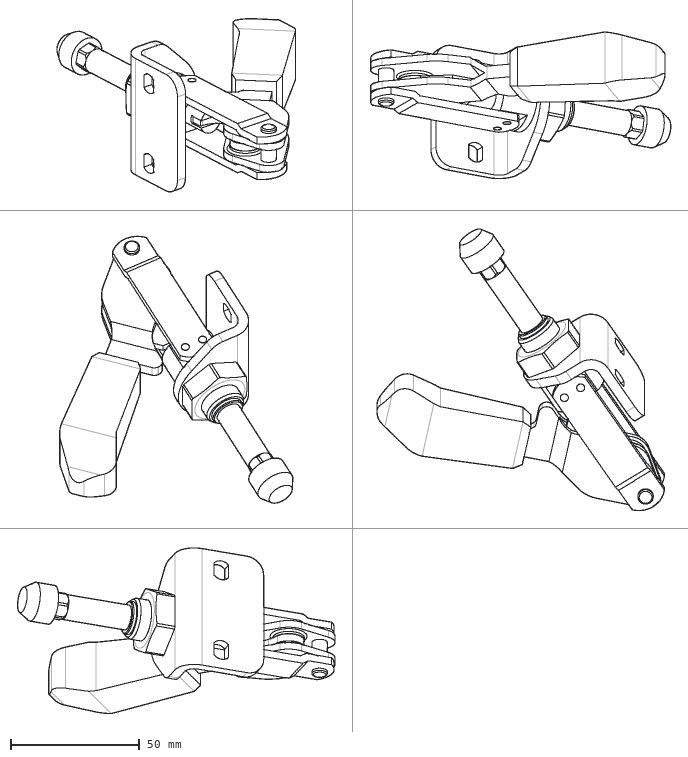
import cadquery as cq
import math


LONG = 261.0

ROD_RADIUS = 5.0
TIP_RADIUS = 7.7
TIP_NOSE_RADIUS = 5.1
TIP_CONE_LENGTH = 4.5
TIP_LENGTH = 12.1
WRENCH_HALF_FLATS = 5.0
WRENCH_RADIUS = 5.5
WRENCH_END = 16.7
WRENCH_CONE_END = 17.5
WRENCH_ANGLE = 17.0
PLUNGER_END = 88.7

SHEET = 4.0
BRACKET_FRONT = 59.1
BRACKET_BACK = BRACKET_FRONT + SHEET
BRACKET_HEIGHT = 50.0
BASE_END = 93.0
BASE_BOTTOM = -20.1
BEND_RADIUS = 8.0
BASE_CORNER_RADIUS = 7.0
CROWN_RADIUS = 20.0
CROWN_TOP = 14.0
SLOT_X = 75.3
SLOT_Z = 17.1
SLOT_LENGTH = 8.0
SLOT_WIDTH = 6.0

LIP_RADIUS = 6.5
LIP_START = 43.7
LIP_CHAMFER = 0.4
COLLAR_RADIUS = 8.1
COLLAR_START = 45.3
COLLAR_CHAMFER_LENGTH = 1.2
COLLAR_CHAMFER_DEPTH = 0.7
BARREL_RADIUS = 11.1
BARREL_END = 78.0
FLAT_START = 65.9
PLATE = 3.0
PLATE_INNER = 7.6
PLATE_JOG = 1.5
JOG_START = 114.6
JOG_LENGTH = 2.2
JOG_INNER_LEAD = 1.0
PLATE_START = 66.5
PLATE_END = 129.8
PLATE_WIDTH = 15.0
PLATE_END_RADIUS = 10.0
RIVET_RADIUS = 1.6
RIVET_HEAD = 0.1
RIVET_X = 72.5
RIVET_Y = 3.8

NUT_START = 50.9
NUT_HALF_FLATS = 12.0
NUT_RADIUS = 13.6
NUT_FACE_RADIUS = 11.0
NUT_CHAMFER_LENGTH = 0.7
NUT_ANGLE = 90.0

PIN_X = 124.5
PIN_RADIUS = 3.0
PIN_HALF_LENGTH = 10.6
PIN_CHAMFER = 0.5

LEVER_OUTER = PLATE_INNER - PLATE_JOG
LEVER_INNER = 3.3
NECK_HALF = 2.6
LEVER_END_RADIUS = 6.0
KNUCKLE_RADIUS = 8.5
KNUCKLE = (111.2, -0.8)
LEVER_TILT = 45.0
BELLY_ANGLE = 14.0
SHOULDER_POINT = (102.6, 21.9)
SHOULDER_ANGLE = 170.0
SHOULDER_RADIUS = 13.7
NECK_TOP_OFFSET = 6.3
NECK_RADIUS = 10.5
THROAT_X = 78.8
THROAT_RADIUS = 2.0
HOOK_TOP_POINT = (76.5, 18.8)
HOOK_NOSE_X = 74.0
HOOK_BOTTOM_Y = 11.9
HOOK_RADIUS = 3.0
HEEL_RADIUS = 10.0
BEND_AT_NECK = -10.2
BEND_AT_ARMS = -15.9

GRIP_BASE = (82.5, 27.8)
GRIP_CHAMFER = 3.5
GRIP_BASE_WIDTH = 15.9
GRIP_SHOULDER_WIDTH = 19.8
GRIP_PALM = (36.4, -10.3)
GRIP_LOWER_TIP = (52.3, -15.4)
GRIP_LOWER_TIP_RADIUS = 6.0
GRIP_UPPER_TIP = (61.5, -0.1)
GRIP_UPPER_TIP_RADIUS = 4.8
GRIP_BACK = (42.7, 11.4)
GRIP_BACK_RADIUS = 11.7
GRIP_BASE_HALF = 6.9
GRIP_SHOULDER_HALF = 8.1
GRIP_BELLY_HALF = 10.6
GRIP_BELLY = 39.2
GRIP_END = 60.4
GRIP_END_HALF = 6.3
GRIP_END_RADIUS = 6.0

LINK_HALF = 1.6
EYE_RADIUS = 6.0
WASHER_RADIUS = 6.3
FLANGE_RADIUS = 7.2
FLANGE_START = 2.5
LINK_FRONT = 82.7
LINK_BOTTOM = -3.9
LINK_SHOULDER = 8.2
LINK_TOP = 12.3
LINK_BACK = 101.8
ARCH_CENTER = (95.9, -2.9)
ARCH_RADIUS = 8.7
ARCH_END_ANGLE = 28.0



def polar(center, radius, angle):
    """Point at a radius and an angle in degrees from a centre."""
    turn = math.radians(angle)
    return (center[0] + radius * math.cos(turn), center[1] + radius * math.sin(turn))


def meet(edge_a, edge_b):
    """Crossing of two straight edges, each given as a point and a direction in degrees."""
    (ax, ay), angle_a = edge_a
    (bx, by), angle_b = edge_b
    turn_a = math.radians(angle_a)
    turn_b = math.radians(angle_b)
    gap = (bx - ax) * math.sin(turn_b) - (by - ay) * math.cos(turn_b)
    return polar((ax, ay), gap / math.sin(turn_b - turn_a), angle_a)


def rounded_outline(plane, corners):
    """Closed outline through (x, y, radius) corners; a corner of radius 0 stays sharp."""
    stretches = []
    for i, (x, y, radius) in enumerate(corners):
        before = corners[i - 1]
        after = corners[(i + 1) % len(corners)]
        angle_in = math.degrees(math.atan2(before[1] - y, before[0] - x))
        angle_out = math.degrees(math.atan2(after[1] - y, after[0] - x))
        half_angle = ((angle_out - angle_in + 180) % 360 - 180) / 2
        if radius == 0:
            stretches.append([(x, y)])
            continue
        setback = radius / math.tan(math.radians(abs(half_angle)))
        to_arc = radius / math.sin(math.radians(abs(half_angle))) - radius
        start = polar((x, y), setback, angle_in)
        middle = polar((x, y), to_arc, angle_in + half_angle)
        stretches.append([start, middle, polar((x, y), setback, angle_out)])
    wire = cq.Workplane(plane).moveTo(*stretches[0][-1])
    for stretch in stretches[1:] + stretches[:1]:
        wire = wire.lineTo(*stretch[0])
        if len(stretch) == 3:
            wire = wire.threePointArc(stretch[1], stretch[2])
    return wire.close()


def turned(profile):
    """Body turned about the X axis from its (x, radius) points."""
    return cq.Workplane("XY").polyline(profile).close().revolve(360, (0, 0), (1, 0))


def rod(radius, start, end):
    """Round bar along the X axis."""
    return cq.Workplane("YZ", origin=(start, 0, 0)).circle(radius).extrude(end - start)


def hexagon(half_flats, start, end, angle):
    """Hexagonal bar along the X axis with one corner at the given angle from +Y."""
    corner_diameter = 2 * half_flats / math.cos(math.radians(30))
    bar = cq.Workplane("YZ", origin=(start, 0, 0)).polygon(6, corner_diameter).extrude(end - start)
    return bar.rotate((0, 0, 0), (1, 0, 0), angle)


def cylinder_z(x, y, radius, half_length):
    """Round bar parallel to Z, centred on z = 0."""
    return cq.Workplane("XY", origin=(x, y, -half_length)).circle(radius).extrude(2 * half_length)


tilt_axis = polar((0, 0), 1, LEVER_TILT + 90)
tilt_side = polar((0, 0), 1, LEVER_TILT)
grip_plan = cq.Plane(origin=(*GRIP_BASE, 0), xDir=(*tilt_axis, 0), normal=(0, 0, -1))
grip_section = cq.Plane(origin=(*GRIP_BASE, 0), xDir=(*tilt_axis, 0), normal=(*tilt_side, 0))



def make_plunger():
    """Push rod with a coned tip, a wrench hexagon and a slotted rear end for the link."""
    tip = turned([
        (0, 0),
        (0, TIP_NOSE_RADIUS),
        (TIP_CONE_LENGTH, TIP_RADIUS),
        (TIP_LENGTH, TIP_RADIUS),
        (TIP_LENGTH, 0),
    ])
    wrench_blank = turned([
        (TIP_LENGTH, 0),
        (TIP_LENGTH, WRENCH_RADIUS),
        (WRENCH_END, WRENCH_RADIUS),
        (WRENCH_CONE_END, ROD_RADIUS),
        (WRENCH_CONE_END, 0),
    ])
    wrench = hexagon(WRENCH_HALF_FLATS, TIP_LENGTH, WRENCH_CONE_END, WRENCH_ANGLE).intersect(wrench_blank)
    slot = cq.Workplane("XY", origin=(LINK_FRONT, 0, 0))
    slot = slot.box(LONG, LONG, 2 * LINK_HALF, centered=(False, True, True))
    return tip.union(wrench).union(rod(ROD_RADIUS, WRENCH_END, PLUNGER_END)).cut(slot)


def make_side_plate():
    """Upper strap of the guide, jogged inward at the pivot end."""
    jog_end = JOG_START + JOG_LENGTH
    outer = PLATE_INNER + PLATE
    edge_view = [
        (PLATE_START, PLATE_INNER),
        (PLATE_START, outer),
        (JOG_START, outer),
        (jog_end, outer - PLATE_JOG),
        (PLATE_END, outer - PLATE_JOG),
        (PLATE_END, PLATE_INNER - PLATE_JOG),
        (jog_end - JOG_INNER_LEAD, PLATE_INNER - PLATE_JOG),
        (JOG_START - JOG_INNER_LEAD, PLATE_INNER),
    ]
    strap = cq.Workplane("XZ").polyline(edge_view).close().extrude(PLATE_WIDTH / 2, both=True)
    bulge = PLATE_END_RADIUS - math.sqrt(PLATE_END_RADIUS**2 - (PLATE_WIDTH / 2) ** 2)
    half = PLATE_WIDTH / 2
    plan = (
        cq.Workplane("XY")
        .moveTo(PLATE_START + bulge, -half)
        .lineTo(PLATE_END - bulge, -half)
        .threePointArc((PLATE_END, 0), (PLATE_END - bulge, half))
        .lineTo(PLATE_START + bulge, half)
        .threePointArc((PLATE_START, 0), (PLATE_START + bulge, -half))
        .close()
        .extrude(LONG)
    )
    rivets = (
        cq.Workplane("XY", origin=(0, 0, PLATE_INNER))
        .pushPoints([(RIVET_X, RIVET_Y), (RIVET_X, -RIVET_Y)])
        .circle(RIVET_RADIUS)
        .extrude(PLATE + RIVET_HEAD)
    )
    return strap.intersect(plan).union(rivets)


def make_guide():
    """Bored guide with a collar, a flatted barrel and two riveted side plates."""
    body = turned([
        (LIP_START, 0),
        (LIP_START, LIP_RADIUS - LIP_CHAMFER),
        (LIP_START + LIP_CHAMFER, LIP_RADIUS),
        (COLLAR_START, LIP_RADIUS),
        (COLLAR_START, COLLAR_RADIUS - COLLAR_CHAMFER_DEPTH),
        (COLLAR_START + COLLAR_CHAMFER_LENGTH, COLLAR_RADIUS),
        (BRACKET_BACK, COLLAR_RADIUS),
        (BRACKET_BACK, BARREL_RADIUS),
        (BARREL_END, BARREL_RADIUS),
        (BARREL_END, 0),
    ])
    above_flat = cq.Workplane("XY", origin=(FLAT_START, 0, PLATE_INNER))
    above_flat = above_flat.box(LONG, LONG, LONG, centered=(False, True, False))
    body = body.cut(above_flat).cut(above_flat.mirror("XY"))
    plate = make_side_plate()
    body = body.union(plate).union(plate.mirror("XY"))
    pin_hole = cylinder_z(PIN_X, 0, PIN_RADIUS, LONG)
    return body.cut(rod(ROD_RADIUS, 0, BARREL_END)).cut(pin_hole)


def make_nut():
    """Hexagon nut, coned on its front face."""
    blank = turned([
        (NUT_START, COLLAR_RADIUS),
        (NUT_START, NUT_FACE_RADIUS),
        (NUT_START + NUT_CHAMFER_LENGTH, NUT_RADIUS),
        (BRACKET_FRONT, NUT_RADIUS),
        (BRACKET_FRONT, COLLAR_RADIUS),
    ])
    return hexagon(NUT_HALF_FLATS, NUT_START, BRACKET_FRONT, NUT_ANGLE).intersect(blank)


def make_bracket():
    """Bent angle bracket with a rounded crown around the guide and two base slots."""
    half = BRACKET_HEIGHT / 2
    angle_section = rounded_outline("XY", [
        (BRACKET_FRONT, CROWN_TOP, 0),
        (BRACKET_BACK, CROWN_TOP, 0),
        (BRACKET_BACK, BASE_BOTTOM + SHEET, BEND_RADIUS - SHEET),
        (BASE_END, BASE_BOTTOM + SHEET, 0),
        (BASE_END, BASE_BOTTOM, 0),
        (BRACKET_FRONT, BASE_BOTTOM, BEND_RADIUS),
    ]).extrude(half, both=True)
    flank_peak = CROWN_TOP + CROWN_RADIUS * (math.sqrt(2) - 1)
    face_outline = rounded_outline("YZ", [
        (BASE_BOTTOM, -half, 0),
        (flank_peak - half, -half, BASE_CORNER_RADIUS),
        (flank_peak, 0, CROWN_RADIUS),
        (flank_peak - half, half, BASE_CORNER_RADIUS),
        (BASE_BOTTOM, half, 0),
    ]).extrude(LONG)
    bracket = angle_section.intersect(face_outline)
    bracket = bracket.edges("|Y and >X").fillet(BASE_CORNER_RADIUS)
    for side in (1, -1):
        round_hole = (
            cq.Workplane("XZ", origin=(SLOT_X, 0, side * SLOT_Z))
            .circle(SLOT_LENGTH / 2)
            .extrude(LONG, both=True)
        )
        sides = cq.Workplane("XY").box(SLOT_WIDTH, LONG, LONG).translate((SLOT_X, 0, 0))
        bracket = bracket.cut(round_hole.intersect(sides))
    return bracket.cut(rod(COLLAR_RADIUS, BRACKET_FRONT, BRACKET_BACK))


def make_lever():
    """Forked lever: a solid neck that spreads into two parallel arms around the link."""
    pin = (PIN_X, 0)
    back = (polar(pin, LEVER_END_RADIUS, 45), 135)
    shoulder = (SHOULDER_POINT, SHOULDER_ANGLE)
    neck_top = (polar(GRIP_BASE, NECK_TOP_OFFSET, LEVER_TILT), LEVER_TILT + 90)
    base = (GRIP_BASE, LEVER_TILT)
    throat = ((THROAT_X, 0), 90)
    hook_top = (HOOK_TOP_POINT, 45)
    nose = ((HOOK_NOSE_X, 0), 90)
    hook_bottom = ((0, HOOK_BOTTOM_Y), 0)
    heel = (polar(KNUCKLE, KNUCKLE_RADIUS, 225), 135)
    belly = (polar(pin, LEVER_END_RADIUS, BELLY_ANGLE - 90), BELLY_ANGLE)
    outline = rounded_outline("XY", [
        (*meet(belly, back), LEVER_END_RADIUS),
        (*meet(back, shoulder), SHOULDER_RADIUS),
        (*meet(shoulder, neck_top), NECK_RADIUS),
        (*meet(neck_top, base), 0),
        (*meet(base, throat), 0),
        (*meet(throat, hook_top), THROAT_RADIUS),
        (*meet(hook_top, nose), HOOK_RADIUS),
        (*meet(nose, hook_bottom), HOOK_RADIUS),
        (*meet(hook_bottom, heel), HEEL_RADIUS),
        (*meet(heel, belly), KNUCKLE_RADIUS),
    ]).extrude(LEVER_OUTER, both=True)
    spread = (LEVER_OUTER - NECK_HALF) / (BEND_AT_NECK - BEND_AT_ARMS)
    outer_half = [
        (0, NECK_HALF),
        (BEND_AT_NECK, NECK_HALF),
        (BEND_AT_ARMS, LEVER_OUTER),
        (-LONG, LEVER_OUTER),
    ]
    section = outer_half + [(x, -z) for x, z in reversed(outer_half)]
    envelope = cq.Workplane(grip_section).polyline(section).close().extrude(LONG, both=True)
    fork = [
        (BEND_AT_ARMS + LEVER_INNER / spread, 0),
        (BEND_AT_ARMS, LEVER_INNER),
        (-LONG, LEVER_INNER),
        (-LONG, -LEVER_INNER),
        (BEND_AT_ARMS, -LEVER_INNER),
    ]
    fork_gap = cq.Workplane(grip_section).polyline(fork).close().extrude(LONG, both=True)
    return outline.intersect(envelope).cut(fork_gap).cut(cylinder_z(PIN_X, 0, PIN_RADIUS, LONG))


def make_grip():
    """Moulded grip: its plan outline trimmed by a section that swells to the belly."""
    plan = rounded_outline(grip_plan, [
        (0, -GRIP_BASE_WIDTH / 2, 0),
        (GRIP_CHAMFER, -GRIP_SHOULDER_WIDTH / 2, 0),
        (*GRIP_PALM, 0),
        (*GRIP_LOWER_TIP, GRIP_LOWER_TIP_RADIUS),
        (*GRIP_UPPER_TIP, GRIP_UPPER_TIP_RADIUS),
        (*GRIP_BACK, GRIP_BACK_RADIUS),
        (GRIP_CHAMFER, GRIP_SHOULDER_WIDTH / 2, 0),
        (0, GRIP_BASE_WIDTH / 2, 0),
    ]).extrude(GRIP_BELLY_HALF, both=True)
    section = rounded_outline(grip_section, [
        (0, GRIP_BASE_HALF, 0),
        (GRIP_CHAMFER, GRIP_SHOULDER_HALF, 0),
        (GRIP_BELLY, GRIP_BELLY_HALF, 0),
        (GRIP_END, GRIP_END_HALF, GRIP_END_RADIUS),
        (GRIP_END, -GRIP_END_HALF, GRIP_END_RADIUS),
        (GRIP_BELLY, -GRIP_BELLY_HALF, 0),
        (GRIP_CHAMFER, -GRIP_SHOULDER_HALF, 0),
        (0, -GRIP_BASE_HALF, 0),
    ]).extrude(LONG, both=True)
    return plan.intersect(section)


def make_link():
    """Arched link from the plunger slot to a flanged eye between the lever arms."""
    arch_front = polar(ARCH_CENTER, ARCH_RADIUS, 180)
    arch_back = polar(ARCH_CENTER, ARCH_RADIUS, ARCH_END_ANGLE)
    arm = (
        cq.Workplane("XY")
        .moveTo(LINK_FRONT, LINK_BOTTOM)
        .lineTo(LINK_FRONT, LINK_SHOULDER)
        .lineTo(LINK_FRONT + LINK_TOP - LINK_SHOULDER, LINK_TOP)
        .lineTo(LINK_BACK, LINK_TOP)
        .lineTo(*polar(KNUCKLE, EYE_RADIUS, ARCH_END_ANGLE))
        .lineTo(*polar(KNUCKLE, EYE_RADIUS, ARCH_END_ANGLE + 180))
        .lineTo(*arch_back)
        .threePointArc(polar(ARCH_CENTER, ARCH_RADIUS, 90), arch_front)
        .lineTo(arch_front[0], LINK_BOTTOM)
        .close()
        .extrude(LINK_HALF, both=True)
    )
    link = arm.union(cylinder_z(*KNUCKLE, EYE_RADIUS, LINK_HALF))
    flange_profile = [
        (0, LINK_HALF),
        (WASHER_RADIUS, LINK_HALF),
        (WASHER_RADIUS, FLANGE_START),
        (FLANGE_RADIUS, LEVER_INNER),
        (0, LEVER_INNER),
    ]
    flange = cq.Workplane("XZ").polyline(flange_profile).close().revolve(360, (0, 0), (0, 1))
    flange = flange.translate((*KNUCKLE, 0))
    return link.union(flange).union(flange.mirror("XY"))


def make_pin():
    """Pivot pin through the side plates and the lever arms."""
    return cylinder_z(PIN_X, 0, PIN_RADIUS, PIN_HALF_LENGTH).faces("<Z or >Z").chamfer(PIN_CHAMFER)


plunger = make_plunger()
guide = make_guide()
nut = make_nut()
bracket = make_bracket()
lever = make_lever()
grip = make_grip()
link = make_link()
pin = make_pin()

result = cq.Compound.makeCompound([
    plunger.val(),
    guide.val(),
    nut.val(),
    bracket.val(),
    lever.val(),
    grip.val(),
    link.val(),
    pin.val(),
])